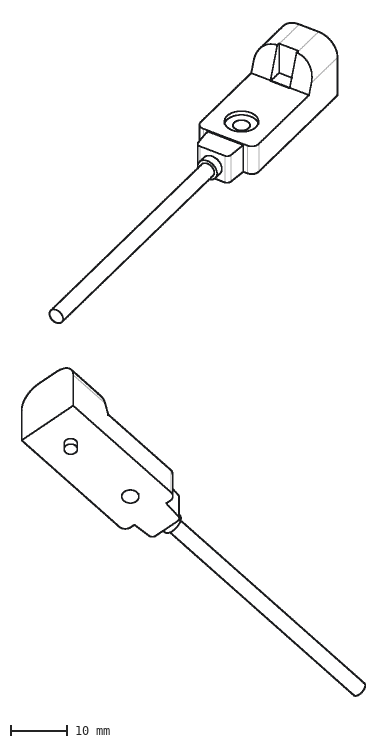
import cadquery as cq

total_length = 83.4

body_width = 12.0
body_length = 27.5
body_height = 6.2
body_corner_radius = 1.4
head_height = 12.5
head_top_length = 7.2
head_base_length = 9.4
head_round_radius = body_width / 3

notch_width = body_width / 3
notch_wall_y = -6.6
notch_floor_z = 6.0

hole_y = -22.2
hole_diameter = 3.0
counterbore_diameter = 6.0
counterbore_depth = 0.8

pin_y = -6.25
pin_diameter = 2.3
pin_length = 1.5

boot_base_width = 7.4
boot_end_width = 6.7
boot_end_y = -31.9
boot_height = 5.9
boot_corner_radius = 0.8

cable_z = 2.75
collar_diameter = 4.0
collar_end_y = -33.45
cable_diameter = 2.8


def make_body():
    body = (
        cq.Workplane("YZ")
        .polyline([
            (0, 0),
            (0, head_height),
            (-head_top_length, head_height),
            (-head_base_length, body_height),
            (-body_length, body_height),
            (-body_length, 0),
        ])
        .close()
        .extrude(body_width / 2, both=True)
    )
    arch = (
        cq.Workplane("XY")
        .box(body_width, body_length, head_height, centered=(True, False, False))
        .translate((0, -body_length, 0))
        .edges("|Y and >Z")
        .fillet(head_round_radius)
    )
    body = body.edges("|Z and <Y").fillet(body_corner_radius)
    return body.intersect(arch)


def make_notch():
    return (
        cq.Workplane("XY", origin=(0, -head_base_length, notch_floor_z))
        .box(
            notch_width,
            head_base_length + notch_wall_y,
            head_height - notch_floor_z,
            centered=(True, False, False),
        )
    )


def make_mounting_hole():
    through_hole = cq.Workplane("XY", origin=(0, hole_y, 0)).circle(hole_diameter / 2).extrude(body_height)
    counterbore = (
        cq.Workplane("XY", origin=(0, hole_y, body_height))
        .circle(counterbore_diameter / 2)
        .extrude(-counterbore_depth)
    )
    return through_hole.union(counterbore)


def make_boot():
    return (
        cq.Workplane("XY")
        .polyline([
            (-boot_base_width / 2, -body_length),
            (boot_base_width / 2, -body_length),
            (boot_end_width / 2, boot_end_y),
            (-boot_end_width / 2, boot_end_y),
        ])
        .close()
        .extrude(boot_height)
        .edges("|Z and <Y")
        .fillet(boot_corner_radius)
    )


def round_along_y(diameter, start_y, end_y):
    return (
        cq.Workplane("XZ", origin=(0, start_y, cable_z))
        .circle(diameter / 2)
        .extrude(start_y - end_y)
    )


collar = round_along_y(collar_diameter, boot_end_y, collar_end_y)
pin = cq.Workplane("XY", origin=(0, pin_y, 0)).circle(pin_diameter / 2).extrude(-pin_length)

result = (
    make_body()
    .cut(make_notch())
    .cut(make_mounting_hole())
    .union(make_boot())
    .union(collar)
    .union(round_along_y(cable_diameter, boot_end_y, -total_length))
    .union(pin)
)